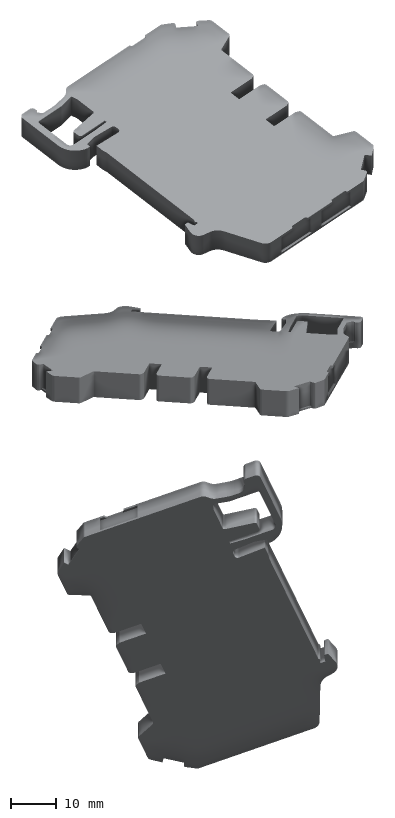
import cadquery as cq
import math

body_width = 65.15
foot_overhang = 0.6
height = 50.6
thickness = 6.0
cut_margin = 0.65

side = body_width / 2
foot_side = -(side + foot_overhang)

deck_y = 46.0
slot_width = 2.75
slot_spacing = 11.25
slot_floor_y = 38.65
slot_lip_width = 0.45
slot_lip_height = 1.1
slot_lip_radius = 0.5

seat_upper = (27.2, 47.45)
seat_lower = (30.05, 43.7)
seat_depth = 0.45
seat_ledge = 0.4

pocket_depth = 0.5
pocket_length = 8.9
pocket_floor_z = 0.6
pocket_ceiling_z = 5.3
mouth_offset = 3.2
mouth_length = 4.6
mouth_taper = 0.3
upper_pocket_y = 29.0
lower_pocket_y = 17.15

rail_y = 6.3
rail_pad_y = 6.1

foot_top_y = 3.9
web_left = -30.25
web_fillet = 2.05
relief_floor_z = 1.4
window_left = -29.05
window_right = -18.7
window_top_y = 12.7
window_bottom_y = 1.65


def rounded_outline(corners):
    """Closed workplane outline through (x, y, radius) corners; radius 0 leaves the corner sharp."""
    pieces = []
    for i, (x, y, radius) in enumerate(corners):
        before = cq.Vector(*corners[i - 1][:2])
        after = cq.Vector(*corners[(i + 1) % len(corners)][:2])
        corner = cq.Vector(x, y)
        if radius == 0:
            pieces.append((corner,))
            continue
        to_before = (before - corner).normalized()
        to_after = (after - corner).normalized()
        half_angle = to_before.getAngle(to_after) / 2
        setback = radius / math.tan(half_angle)
        centre_distance = radius / math.sin(half_angle)
        bisector = (to_before + to_after).normalized()
        pieces.append((
            corner + to_before * setback,
            corner + bisector * (centre_distance - radius),
            corner + to_after * setback,
        ))

    outline = cq.Workplane("XY").moveTo(*pieces[0][-1].toTuple()[:2])
    for piece in pieces[1:] + pieces[:1]:
        outline = outline.lineTo(*piece[0].toTuple()[:2])
        if len(piece) == 3:
            outline = outline.threePointArc(piece[1].toTuple()[:2], piece[2].toTuple()[:2])
    return outline.close()


def mirrored(corners):
    """The same corners reflected about X = 0, in reverse order."""
    return [(-x, y, radius) for x, y, radius in reversed(corners)]


def upper_right_edge():
    """Corners from the right side wall, over the shoulder and slot, towards the centre."""
    slot_outer = (slot_spacing + slot_width) / 2
    slot_inner = (slot_spacing - slot_width) / 2
    lip_y = deck_y - slot_lip_height
    return [
        (side, 41.6, 0.85),
        (31.0, 44.1, 0.3),
        (30.5, 44.05, 0),
        (*seat_lower, 0),
        (*seat_upper, 0),
        (28.1, 48.1, 0),
        (26.15, height, 1.0),
        (20.05, height, 0.6),
        (18.0, deck_y, 0.3),
        (slot_outer + slot_lip_width, deck_y, slot_lip_radius),
        (slot_outer, lip_y, 0),
        (slot_outer, slot_floor_y, 0),
        (slot_inner, slot_floor_y, 0),
        (slot_inner, lip_y, 0),
        (slot_inner - slot_lip_width, deck_y, slot_lip_radius),
    ]


def make_body():
    foot = [
        (foot_side, 0, 1.0),
        (-16.6, 0, 5.1),
        (-15.8, 4.15, 0),
        (-15.8, 4.9, 0),
        (-16.75, 4.9, 0),
        (-17.3, 7.5, 3.95),
        (-16.95, 13.1, 0.7),
        (-14.7, 13.1, 0.7),
    ]
    rail_seat = [
        (-15.0, rail_pad_y, 0),
        (-13.1, rail_pad_y, 0),
        (-11.8, rail_y, 0),
        (16.25, rail_y, 0),
        (16.35, rail_pad_y, 0),
        (16.8, rail_pad_y, 0),
        (16.95, rail_y, 0),
    ]
    hook = [
        (17.4, rail_y, 0),
        (17.4, 5.2, 0),
        (15.8, 4.8, 0.2),
        (15.8, 3.9, 0),
        (20.5, 2.55, 2.05),
        (21.5, 8.0, 3.3),
        (side, 12.8, 2.0),
    ]
    left_web = [
        (-side, 13.35, 1.85),
        (-30.95, 11.75, 2.5),
        (web_left, 7.95, 9.2),
        (web_left, foot_top_y, web_fillet),
        (foot_side, foot_top_y, 0.8),
    ]
    upper_edge = upper_right_edge()
    corners = foot + rail_seat + hook + upper_edge + mirrored(upper_edge) + left_web
    return rounded_outline(corners).extrude(thickness)


def make_foot_window():
    """Opening through the foot, with a tongue hanging into it from above."""
    return rounded_outline([
        (window_left, window_bottom_y, 0.3),
        (window_right, window_bottom_y, 1.1),
        (window_right, 9.2, 0),
        (-18.85, window_top_y, 0),
        (-19.4, window_top_y, 0),
        (-19.4, 5.3, 0.7),
        (-21.75, 5.3, 0.5),
        (-22.8, window_top_y, 0.4),
        (-28.45, window_top_y, 3.3),
        (-29.8, 12.3, 0),
        (window_left, 8.7, 0),
    ]).extrude(thickness)


def make_foot_relief():
    """Bevelled clearance at the root of the left web, above the filleted part of the corner."""
    return (
        cq.Workplane("XY", origin=(0, 0, relief_floor_z))
        .moveTo(web_left, foot_top_y + web_fillet)
        .lineTo(web_left, 4.5)
        .lineTo(-31.1, 3.6)
        .lineTo(-31.7, 3.5)
        .lineTo(-31.95, foot_top_y)
        .lineTo(-31.95, foot_top_y + web_fillet)
        .close()
        .extrude(thickness)
    )


def make_label_seat():
    """Slanted slab that deepens the right shoulder between its two teeth."""
    along = (cq.Vector(*seat_lower) - cq.Vector(*seat_upper)).normalized()
    inward = cq.Vector(along.y, -along.x) * seat_depth
    upper = cq.Vector(*seat_upper)
    lower = cq.Vector(*seat_lower)
    return (
        cq.Workplane("XY", origin=(0, 0, seat_ledge))
        .polyline([p.toTuple()[:2] for p in (upper, lower, lower + inward, upper + inward)])
        .close()
        .extrude(thickness)
    )


def make_side_pocket(start_y):
    """Shallow pocket in the right side wall with a tapered mouth through the top face."""
    floor_x = side - pocket_depth
    pocket = cq.Workplane("XY").box(
        pocket_depth + cut_margin, pocket_length, pocket_ceiling_z - pocket_floor_z, centered=False
    ).translate((floor_x, start_y, pocket_floor_z))
    mouth_start = start_y + mouth_offset
    mouth_end = mouth_start + mouth_length
    mouth = (
        cq.Workplane("XY", origin=(0, 0, pocket_floor_z))
        .polyline([
            (side, mouth_start),
            (side, mouth_end),
            (floor_x, mouth_end - mouth_taper),
            (floor_x, mouth_start + mouth_taper),
        ])
        .close()
        .extrude(thickness)
    )
    return pocket.union(mouth)


label_seat = make_label_seat()
upper_pocket = make_side_pocket(upper_pocket_y)

result = make_body().cut(make_foot_window()).cut(make_foot_relief())
for tool in (label_seat, upper_pocket):
    result = result.cut(tool).cut(tool.mirror("YZ"))
result = result.cut(make_side_pocket(lower_pocket_y))